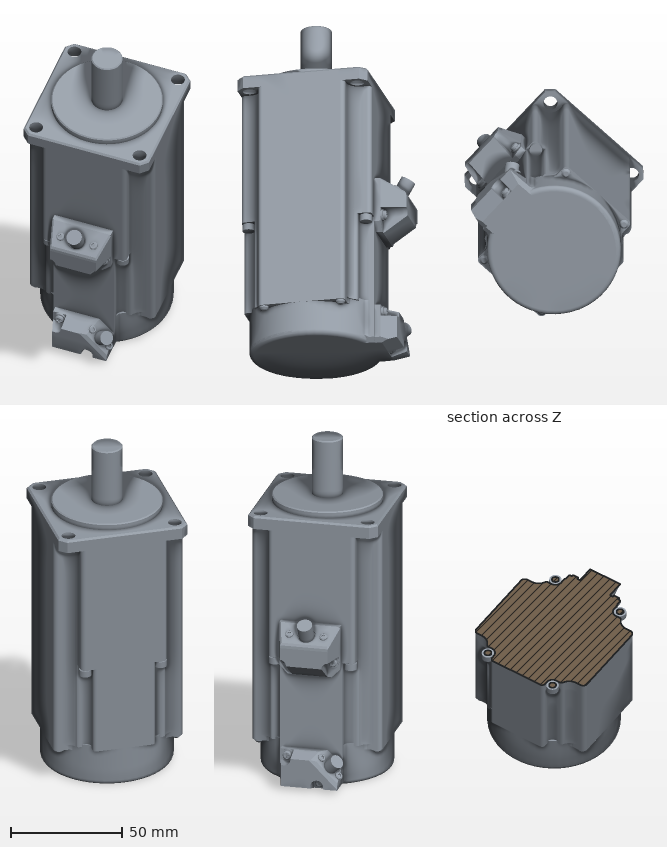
import cadquery as cq
import math

BODY = 60.0
HALF = BODY / 2

SHAFT_D, SHAFT_LEN, SHAFT_CHAMFER = 14.0, 30.0, 0.5
PILOT_D, PILOT_H, PILOT_CHAMFER = 50.0, 3.0, 0.5
FLANGE_T, FLANGE_CORNER, FLANGE_EDGE = 6.0, 3.3, 0.8
BOLT_CIRCLE, FLANGE_HOLE_D = 70.0, 6.2
HOLE_POS = BOLT_CIRCLE / 2 / math.sqrt(2)

COVER_TOP_Z = -106.5
BODY_END_Z = -107.9
EAR_END_Z = -110.5
EAR_FLARE_START, EAR_ROOT = 23.3, 20.6
FACE_HALF_W = 18.0
EDGE_R = 2.0
STEP = FACE_HALF_W + EDGE_R
SCALLOP_R = 5.6

POCKET_TOP_Z = -66.5
RIB_HALF_W = 14.4
BACK_RIB_EDGE_R = 1.6
POCKET_R = 3.1
POCKET_X = RIB_HALF_W + POCKET_R
POCKET_FLOOR_Y = 23.9
POCKET_Y = POCKET_FLOOR_Y + POCKET_R
LIP_START_X, LIP_R = 19.2, 1.9
BOLT_HEAD_D, BOLT_HEAD_H, BOLT_HEAD_GAP = 5.6, 2.9, 0.6
BOLT_SHANK_D = 3.4

TIP_X, TIP_Y, TIP_D, TIP_H, TIP_CHAMFER = 27.3, 17.6, 4.2, 1.6, 0.9

COVER_END_Z = -126.1
COVER_EDGE_R = 2.2
RIB_FLARE_START, RIB_ROOT = 27.6, 15.3
FOOT_BEVEL = 2.0

PLATE_Y = -32.9
SCREW_POCKET_R = 2.9
WASHER_D, WASHER_H = 5.2, 0.9
SCREW_HEAD_D, SCREW_HEAD_H, SCREW_HEAD_CHAMFER = 4.0, 1.4, 0.5
CLAMP_SCREW_D, CLAMP_SCREW_H, CLAMP_SCREW_CHAMFER = 3.6, 0.9, 0.4
CLAMP_HEX, CLAMP_HEX_DEPTH = 1.8, 0.6
CROSS_L, CROSS_W, CROSS_DEPTH = 2.6, 0.7, 0.8

POWER_HALF_W, POWER_TIP_HALF_W = 14.0, 11.0
POWER_TOP_Z, POWER_BOTTOM_Z = -48.2, -72.6
POWER_TIP_Y, POWER_NOSE_BOTTOM_Z = -44.1, -65.0
POWER_SLOPE = 30.0
POWER_EDGE = 0.7
POWER_BROW_DEPTH, POWER_BROW_DROP = 0.25, 2.0
POWER_PLATE_CHAMFER = 3.9
POWER_SCREW_X, POWER_SCREW_Z = 11.1, -65.0
POWER_CABLE_D = 7.0
POWER_CABLE_END_Y, POWER_CABLE_END_Z = -42.47, -45.3
POWER_CABLE_SEAT_D, POWER_CABLE_SEAT_DEPTH = 8.2, 0.5
POWER_CLAMP_X = 7.9

ENC_LEFT_X, ENC_RIGHT_X, ENC_TIP_LEFT_X = -13.6, 14.3, -11.5
ENC_TOP_Z, ENC_TIP_TOP_Z = -108.6, -110.7
ENC_TIP_Y, ENC_TIP_BOTTOM_Z = -39.9, -124.0
ENC_SCREWS = ((-10.1, -111.1), (5.0, -122.9))
ENC_TILT = 25.0
ENC_CABLE_D = 6.4
ENC_CABLE_END = (13.9, -38.0, -110.8)
ENC_CABLE_LEN = 6.0
ENC_CLAMP_OFFSET = 5.6
ENC_EDGE = 1.2


def box(x0, x1, y0, y1, z0, z1):
    return cq.Workplane("XY").box(x1 - x0, y1 - y0, z1 - z0, False).translate((x0, y0, z0))


def cylinder(origin, direction, diameter, length):
    return cq.Workplane(cq.Plane(origin, normal=direction)).circle(diameter / 2).extrude(length)


def four_corners(shape):
    """The shape at its +X +Y corner and mirrored to the other three."""
    pair = shape.union(shape.mirror("YZ"))
    return pair.union(pair.mirror("XZ"))


def both_sides(shape):
    return shape.union(shape.mirror("YZ"))


def shaft_and_pilot():
    shaft = cylinder((0, 0, 0), (0, 0, 1), SHAFT_D, SHAFT_LEN).faces(">Z").chamfer(SHAFT_CHAMFER)
    pilot = cylinder((0, 0, 0), (0, 0, 1), PILOT_D, PILOT_H).faces(">Z").chamfer(PILOT_CHAMFER)
    return shaft.union(pilot)


def flange():
    plate = box(-HALF, HALF, -HALF, HALF, -FLANGE_T, 0)
    return plate.edges("|Z").chamfer(FLANGE_CORNER).faces(">Z").chamfer(FLANGE_EDGE)


def flange_holes():
    hole = cylinder((HOLE_POS, HOLE_POS, 0), (0, 0, -1), FLANGE_HOLE_D, FLANGE_T)
    return four_corners(hole)


def corner_scallop(z_top, z_bottom):
    """Material missing from the +X +Y corner of the square housing."""
    arc_c = STEP + SCALLOP_R
    arc_mid = arc_c - SCALLOP_R * math.sqrt(0.5)
    edge_mid = FACE_HALF_W + EDGE_R * math.sqrt(0.5)
    edge_mid_out = HALF - EDGE_R + EDGE_R * math.sqrt(0.5)
    edge_out = HALF - EDGE_R
    return (
        cq.Workplane("XY", origin=(0, 0, z_bottom))
        .moveTo(HALF, FACE_HALF_W)
        .threePointArc((edge_mid_out, edge_mid), (edge_out, STEP))
        .lineTo(arc_c, STEP)
        .threePointArc((arc_mid, arc_mid), (STEP, arc_c))
        .lineTo(STEP, edge_out)
        .threePointArc((edge_mid, edge_mid_out), (FACE_HALF_W, HALF))
        .lineTo(HALF, HALF)
        .close()
        .extrude(z_top - z_bottom)
    )


def flared_pad(half_w, flare_start, root, z_bottom, z_top):
    """Flat pad on the -Y side, flared near its root to meet the round cover at x = +-root."""
    root_y = -math.sqrt(HALF**2 - root**2)
    return (
        cq.Workplane("XY", origin=(0, 0, z_bottom))
        .moveTo(half_w, -HALF)
        .lineTo(half_w, -flare_start)
        .lineTo(root, root_y)
        .lineTo(0, 0)
        .lineTo(-root, root_y)
        .lineTo(-half_w, -flare_start)
        .lineTo(-half_w, -HALF)
        .close()
        .extrude(z_top - z_bottom)
    )


def housing():
    block = box(-HALF, HALF, -HALF, HALF, BODY_END_Z, -FLANGE_T)
    return block.cut(four_corners(corner_scallop(-FLANGE_T, BODY_END_Z)))


def side_ears():
    """Lower ends of the -X and +X housing faces, reaching past the rest of the housing."""
    ear = flared_pad(STEP, EAR_FLARE_START, EAR_ROOT, EAR_END_Z, BODY_END_Z)
    ear = ear.faces("<Y").edges("|Z").fillet(EDGE_R).rotate((0, 0, 0), (0, 0, 1), 90)
    return both_sides(ear)


def bolt_pocket():
    """Pocket beside the +Y rib, open to the +Y face and to the corner scallop."""
    lip_y = POCKET_FLOOR_Y - LIP_R
    root = POCKET_R * math.sqrt(0.5)
    lip = LIP_R * math.sqrt(0.5)
    pocket = (
        cq.Workplane("XY", origin=(0, 0, BODY_END_Z))
        .moveTo(RIB_HALF_W, HALF)
        .lineTo(RIB_HALF_W, POCKET_Y)
        .threePointArc((POCKET_X - root, POCKET_Y - root), (POCKET_X, POCKET_FLOOR_Y))
        .lineTo(LIP_START_X, POCKET_FLOOR_Y)
        .threePointArc((LIP_START_X + lip, lip_y + lip), (LIP_START_X + LIP_R, lip_y))
        .lineTo(LIP_START_X + LIP_R, HALF)
        .close()
        .extrude(POCKET_TOP_Z - BODY_END_Z)
    )
    return four_corners(pocket)


def back_rib_edge():
    """Material removed to round the +X edge of the back rib alongside its pocket."""
    x0 = RIB_HALF_W - BACK_RIB_EDGE_R
    y0 = HALF - BACK_RIB_EDGE_R
    height = POCKET_TOP_Z - BODY_END_Z
    edge = box(x0, RIB_HALF_W, y0, HALF, BODY_END_Z, POCKET_TOP_Z)
    return edge.cut(cylinder((x0, y0, BODY_END_Z), (0, 0, 1), 2 * BACK_RIB_EDGE_R, height))


def bolt_heads():
    shank = cylinder((POCKET_X, POCKET_Y, POCKET_TOP_Z), (0, 0, -1), BOLT_SHANK_D, BOLT_HEAD_GAP)
    head_z = POCKET_TOP_Z - BOLT_HEAD_GAP
    head = cylinder((POCKET_X, POCKET_Y, head_z), (0, 0, -1), BOLT_HEAD_D, BOLT_HEAD_H)
    return four_corners(shank.union(head))


def screw_tips():
    tip = cylinder((TIP_X, TIP_Y, EAR_END_Z), (0, 0, -1), TIP_D, TIP_H)
    return four_corners(tip.faces("<Z").chamfer(TIP_CHAMFER))


def rear_cover():
    cover = cylinder((0, 0, COVER_TOP_Z), (0, 0, -1), BODY, COVER_TOP_Z - COVER_END_Z)
    return cover.faces("<Z").fillet(COVER_EDGE_R)


def front_rib():
    rib = flared_pad(RIB_HALF_W, RIB_FLARE_START, RIB_ROOT, COVER_END_Z, COVER_TOP_Z)
    foot = box(-RIB_ROOT, RIB_ROOT, -HALF, 0, COVER_END_Z, COVER_TOP_Z)
    foot = foot.faces("<Z").edges("|Y").chamfer(FOOT_BEVEL + RIB_ROOT - RIB_HALF_W)
    return rib.intersect(foot)


def plate_screw(x, z):
    """Washer and cross-recessed head standing on a connector plate."""
    head_y = PLATE_Y - WASHER_H
    screw = cylinder((x, PLATE_Y, z), (0, -1, 0), WASHER_D, WASHER_H)
    head = cylinder((x, head_y, z), (0, -1, 0), SCREW_HEAD_D, SCREW_HEAD_H)
    head = head.faces("<Y").chamfer(SCREW_HEAD_CHAMFER)
    cross_y = head_y - SCREW_HEAD_H
    cross = box(-CROSS_L / 2, CROSS_L / 2, 0, CROSS_DEPTH, -CROSS_W / 2, CROSS_W / 2)
    cross = cross.union(cross.rotate((0, 0, 0), (0, 1, 0), 90)).translate((x, cross_y, z))
    return screw.union(head).cut(cross)


def clamp_screw(seat, axis):
    """Low hex-socket screw head standing on an inclined cable face."""
    head = cylinder(seat, axis, CLAMP_SCREW_D, CLAMP_SCREW_H)
    top = seat + axis * CLAMP_SCREW_H
    top_plane = cq.Plane(top, normal=axis)
    rim = cq.selectors.NearestToPointSelector(top.toTuple())
    head = head.faces(rim).chamfer(CLAMP_SCREW_CHAMFER)
    return head.cut(cq.Workplane(top_plane).polygon(6, CLAMP_HEX).extrude(-CLAMP_HEX_DEPTH))


def power_body():
    slope = math.tan(math.radians(POWER_SLOPE))
    brow_z = POWER_TOP_Z + (POWER_TIP_Y + POWER_BROW_DEPTH - PLATE_Y) * slope
    side = (
        cq.Workplane("YZ", origin=(-POWER_HALF_W, 0, 0))
        .moveTo(PLATE_Y, POWER_TOP_Z)
        .lineTo(POWER_TIP_Y + POWER_BROW_DEPTH, brow_z)
        .lineTo(POWER_TIP_Y, brow_z - POWER_BROW_DROP)
        .lineTo(POWER_TIP_Y, POWER_NOSE_BOTTOM_Z)
        .lineTo(PLATE_Y, POWER_BOTTOM_Z)
        .close()
        .extrude(2 * POWER_HALF_W)
    )
    taper = (
        cq.Workplane("XY", origin=(0, 0, POWER_BOTTOM_Z))
        .moveTo(-POWER_HALF_W, PLATE_Y)
        .lineTo(-POWER_TIP_HALF_W, POWER_TIP_Y)
        .lineTo(POWER_TIP_HALF_W, POWER_TIP_Y)
        .lineTo(POWER_HALF_W, PLATE_Y)
        .close()
        .extrude(POWER_TOP_Z - POWER_BOTTOM_Z)
    )
    nose = side.intersect(taper)
    slope_top = cq.selectors.BoxSelector(
        (-HALF, POWER_TIP_Y, brow_z - POWER_EDGE), (HALF, PLATE_Y - POWER_EDGE, POWER_TOP_Z - POWER_EDGE)
    )
    nose = nose.edges(slope_top).chamfer(POWER_EDGE)
    pocket = cylinder((POWER_SCREW_X, PLATE_Y, POWER_SCREW_Z), (0, -1, 0), 2 * SCREW_POCKET_R, HALF)
    pocket = pocket.union(
        box(POWER_SCREW_X, HALF, POWER_TIP_Y, PLATE_Y, POWER_BOTTOM_Z, POWER_SCREW_Z + SCREW_POCKET_R)
    )
    nose_half_w = POWER_SCREW_X - SCREW_POCKET_R
    pocket = pocket.union(box(nose_half_w, HALF, POWER_TIP_Y, PLATE_Y, POWER_BOTTOM_Z, POWER_SCREW_Z))
    return nose.cut(both_sides(pocket))


def power_connector():
    plate = box(-POWER_HALF_W, POWER_HALF_W, PLATE_Y, -HALF, POWER_BOTTOM_Z, POWER_TOP_Z)
    plate = plate.faces("<Z").edges("|Y").chamfer(POWER_PLATE_CHAMFER)
    connector = plate.union(power_body())

    angle = math.radians(POWER_SLOPE)
    axis = cq.Vector(0, -math.sin(angle), math.cos(angle))
    down_slope = cq.Vector(0, -math.cos(angle), -math.sin(angle))
    cable_end = cq.Vector(0, POWER_CABLE_END_Y, POWER_CABLE_END_Z)
    slope_start = cq.Vector(0, PLATE_Y, POWER_TOP_Z)
    seat = slope_start + down_slope * (cable_end - slope_start).dot(down_slope)
    cable_len = (cable_end - seat).Length

    connector = connector.cut(cylinder(seat, -axis, POWER_CABLE_SEAT_D, POWER_CABLE_SEAT_DEPTH))
    connector = connector.union(both_sides(clamp_screw(seat + cq.Vector(POWER_CLAMP_X, 0, 0), axis)))
    cable_root = seat - axis * POWER_CABLE_SEAT_DEPTH
    cable = cylinder(cable_root, axis, POWER_CABLE_D, cable_len + POWER_CABLE_SEAT_DEPTH)
    screws = both_sides(plate_screw(POWER_SCREW_X, POWER_SCREW_Z))
    return connector.union(cable).union(screws)


def encoder_connector():
    profile = (
        cq.Workplane("YZ", origin=(ENC_LEFT_X, 0, 0))
        .moveTo(-HALF, ENC_TOP_Z)
        .lineTo(PLATE_Y, ENC_TOP_Z)
        .lineTo(ENC_TIP_Y, ENC_TIP_TOP_Z)
        .lineTo(ENC_TIP_Y, ENC_TIP_BOTTOM_Z)
        .lineTo(PLATE_Y, COVER_END_Z)
        .lineTo(-HALF, COVER_END_Z)
        .close()
        .extrude(ENC_RIGHT_X - ENC_LEFT_X)
    )
    side_taper = (
        cq.Workplane("XY", origin=(0, 0, COVER_END_Z))
        .moveTo(ENC_LEFT_X, PLATE_Y)
        .lineTo(ENC_TIP_LEFT_X, ENC_TIP_Y)
        .lineTo(ENC_LEFT_X, ENC_TIP_Y)
        .close()
        .extrude(ENC_TOP_Z - COVER_END_Z)
    )
    connector = profile.cut(side_taper)

    tilt = math.radians(ENC_TILT)
    across = math.cos(tilt) * math.sqrt(0.5)
    axis = cq.Vector(across, -math.sin(tilt), across)
    along = cq.Vector(math.sqrt(0.5), 0, -math.sqrt(0.5))
    seat = cq.Vector(*ENC_CABLE_END) - axis * ENC_CABLE_LEN
    corner = cq.Workplane(cq.Plane(seat, xDir=along, normal=axis)).rect(BODY, BODY).extrude(HALF)
    connector = connector.cut(corner.intersect(box(-HALF, HALF, -BODY, -HALF, COVER_END_Z, 0)))
    inclined_face = connector.faces(cq.selectors.ParallelDirSelector(axis))
    connector = inclined_face.edges("<Y or <X").chamfer(ENC_EDGE)
    connector = connector.faces("<Z").edges("|Y").chamfer(FOOT_BEVEL)

    (left_x, left_z), (low_x, low_z) = ENC_SCREWS
    for x, z in ENC_SCREWS:
        connector = connector.cut(cylinder((x, PLATE_Y, z), (0, -1, 0), 2 * SCREW_POCKET_R, HALF))
    connector = connector.cut(
        box(-HALF, left_x, -BODY, PLATE_Y, left_z - SCREW_POCKET_R, ENC_TOP_Z)
    )
    connector = connector.cut(
        box(left_x, left_x + SCREW_POCKET_R, -BODY, PLATE_Y, left_z, ENC_TOP_Z)
    )
    connector = connector.cut(
        box(low_x - SCREW_POCKET_R, low_x + SCREW_POCKET_R, -BODY, PLATE_Y, COVER_END_Z, low_z)
    )
    for x, z in ENC_SCREWS:
        connector = connector.union(plate_screw(x, z))
    for offset in (-ENC_CLAMP_OFFSET, ENC_CLAMP_OFFSET):
        connector = connector.union(clamp_screw(seat + along * offset, axis))
    return connector.union(cylinder(seat, axis, ENC_CABLE_D, ENC_CABLE_LEN))


motor = housing().cut(bolt_pocket()).cut(both_sides(back_rib_edge())).union(side_ears())
motor = motor.union(flange()).cut(flange_holes()).union(shaft_and_pilot())
motor = motor.union(bolt_heads()).union(screw_tips())
motor = motor.union(rear_cover()).union(front_rib())
motor = motor.union(encoder_connector())
result = motor.union(power_connector())